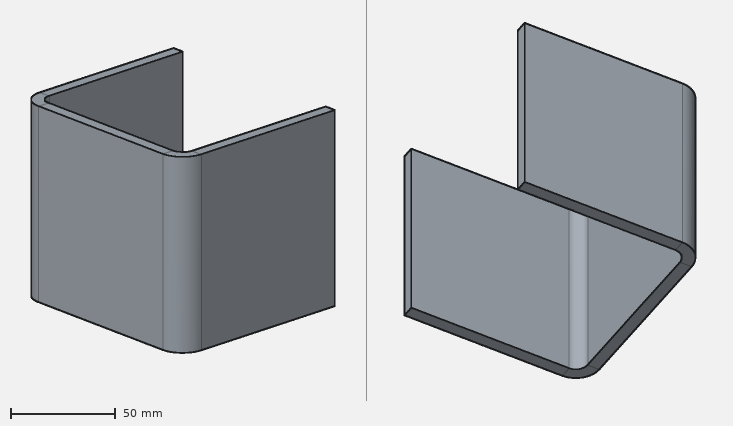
import cadquery as cq

inner_width = 100.0
thickness = 6.5
depth = 100.0
height = 100.0
inner_bend_radius = 6.5

width = inner_width + 2 * thickness
outer_bend_radius = inner_bend_radius + thickness
web_length = width - 2 * outer_bend_radius
flange_length = depth - outer_bend_radius
bend_center_x = web_length / 2
bend_center_y = outer_bend_radius


def make_web():
    """Flat back wall between the two bends, with its outer face on y = 0."""
    return cq.Workplane("XY").box(web_length, thickness, height, centered=(True, False, False))


def make_flange(side):
    """Flat side wall from its bend to the open end; side is -1 or +1 along X."""
    return (
        cq.Workplane("XY")
        .box(thickness, flange_length, height, centered=(True, False, False))
        .translate((side * (width - thickness) / 2, bend_center_y, 0))
    )


def make_bend(side):
    """Quarter-ring corner joining the web to one flange."""
    ring = (
        cq.Workplane("XY")
        .circle(outer_bend_radius)
        .circle(inner_bend_radius)
        .extrude(height)
    )
    quadrant = (
        cq.Workplane("XY")
        .box(outer_bend_radius, outer_bend_radius, height, centered=(True, False, False))
        .translate((side * outer_bend_radius / 2, -outer_bend_radius, 0))
    )
    return ring.intersect(quadrant).translate((side * bend_center_x, bend_center_y, 0))


result = make_web()
for side in (-1, 1):
    result = result.union(make_bend(side), clean=False)
    result = result.union(make_flange(side), clean=False)